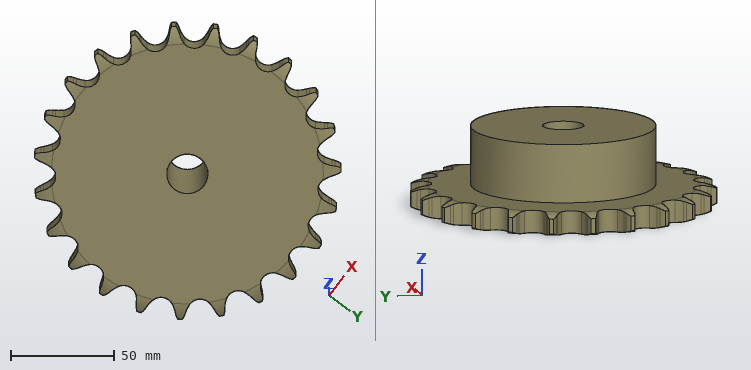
import cadquery as cq
import math

TEETH = 23
PITCH = 19.0
ROLLER_DIAMETER = 12.0
SEAT_RADIUS = 6.1

PLATE_THICKNESS = 11.2
OUTER_WIDTH = 148.8
TIP_LAND_WIDTH = 2.2
RELIEF_START_RADIUS = 65.9
RELIEF_ARC_RADIUS = 20.2

HUB_DIAMETER = 90.0
BORE_DIAMETER = 20.0
TOTAL_HEIGHT = 40.0

SEAT_ANGLE = math.radians(35 + 60 / TEETH)
WORKING_ANGLE = math.radians(18 - 56 / TEETH)
WORKING_CENTRE_OFFSET = 0.8 * ROLLER_DIAMETER
TOPPING_CENTRE_OFFSET = 1.4 * ROLLER_DIAMETER

HALF_TOOTH_ANGLE = math.pi / TEETH
PITCH_RADIUS = PITCH / 2 / math.sin(HALF_TOOTH_ANGLE)

WIDEST_CORNER_ANGLE = HALF_TOOTH_ANGLE / 2 - TIP_LAND_WIDTH / OUTER_WIDTH
TIP_RADIUS = OUTER_WIDTH / 2 / math.cos(WIDEST_CORNER_ANGLE)


def polar(centre, radius, angle):
    """Point at a distance and direction from a centre."""
    return (centre[0] + radius * math.cos(angle), centre[1] + radius * math.sin(angle))


def gap_cutter():
    """Prism filling the tooth gap that is centred on the +Y axis."""
    roller_centre = (0, PITCH_RADIUS)
    flank_angle = WORKING_ANGLE - SEAT_ANGLE

    working_centre = polar(roller_centre, -WORKING_CENTRE_OFFSET, -SEAT_ANGLE)
    working_radius = WORKING_CENTRE_OFFSET + SEAT_RADIUS
    seat_bottom = (0, PITCH_RADIUS - SEAT_RADIUS)
    seat_end = polar(roller_centre, SEAT_RADIUS, -SEAT_ANGLE)
    working_middle = polar(working_centre, working_radius, -SEAT_ANGLE + WORKING_ANGLE / 2)
    working_end = polar(working_centre, working_radius, flank_angle)

    topping_centre = polar(roller_centre, TOPPING_CENTRE_OFFSET, -HALF_TOOTH_ANGLE)
    topping_radius = (
        (topping_centre[0] - working_end[0]) * math.cos(flank_angle)
        + (topping_centre[1] - working_end[1]) * math.sin(flank_angle)
    )
    topping_start_angle = math.pi + flank_angle
    topping_end_angle = math.pi - math.asin((TIP_RADIUS - topping_centre[1]) / topping_radius)
    topping_middle_angle = (topping_start_angle + topping_end_angle) / 2
    topping_start = polar(topping_centre, topping_radius, topping_start_angle)
    topping_middle = polar(topping_centre, topping_radius, topping_middle_angle)
    topping_end = polar(topping_centre, topping_radius, topping_end_angle)

    def mirrored(point):
        return (-point[0], point[1])

    return (
        cq.Workplane("XY")
        .moveTo(*mirrored(topping_end))
        .threePointArc(mirrored(topping_middle), mirrored(topping_start))
        .lineTo(*mirrored(working_end))
        .threePointArc(mirrored(working_middle), mirrored(seat_end))
        .threePointArc(seat_bottom, seat_end)
        .threePointArc(working_middle, working_end)
        .lineTo(*topping_start)
        .threePointArc(topping_middle, topping_end)
        .close()
        .extrude(PLATE_THICKNESS)
    )


def plate_blank():
    """Disc whose rim curves inward on both faces."""

    def relief_depth(radius):
        run = radius - RELIEF_START_RADIUS
        return RELIEF_ARC_RADIUS - math.sqrt(RELIEF_ARC_RADIUS**2 - run**2)

    middle_radius = (RELIEF_START_RADIUS + TIP_RADIUS) / 2
    middle_depth = relief_depth(middle_radius)
    tip_depth = relief_depth(TIP_RADIUS)
    return (
        cq.Workplane("XZ")
        .lineTo(RELIEF_START_RADIUS, 0)
        .threePointArc((middle_radius, middle_depth), (TIP_RADIUS, tip_depth))
        .lineTo(TIP_RADIUS, PLATE_THICKNESS - tip_depth)
        .threePointArc(
            (middle_radius, PLATE_THICKNESS - middle_depth),
            (RELIEF_START_RADIUS, PLATE_THICKNESS),
        )
        .lineTo(0, PLATE_THICKNESS)
        .close()
        .revolve(360, (0, 0, 0), (0, 1, 0))
    )


def toothed_plate():
    """Plate with a gap cut between every two teeth, one gap pointing along +Y."""
    plate = plate_blank()
    cutter = gap_cutter()
    for index in range(TEETH):
        plate = plate.cut(cutter.rotate((0, 0, 0), (0, 0, 1), index * 360 / TEETH))
    return plate


hub = cq.Workplane("XY").circle(HUB_DIAMETER / 2).extrude(TOTAL_HEIGHT)
bore = cq.Workplane("XY").circle(BORE_DIAMETER / 2).extrude(TOTAL_HEIGHT)

result = toothed_plate().union(hub).cut(bore)